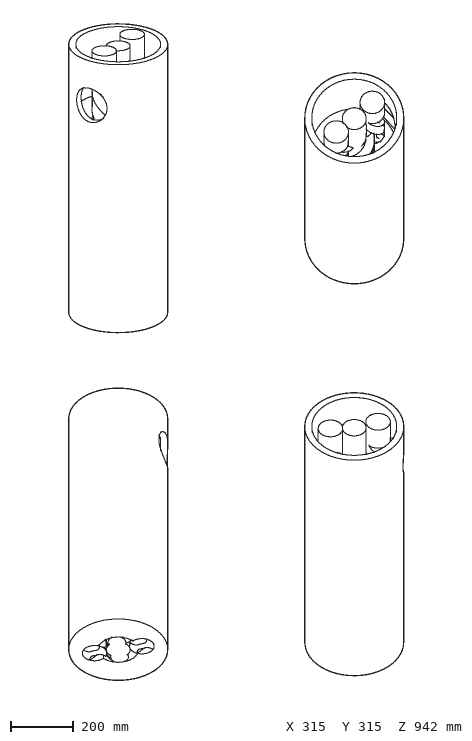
import cadquery as cq
import math

housing_diameter = 315.0
housing_height = 936.0
chamber_diameter = 270.0
chamber_floor = 706.0
window_diameter = 118.0
window_height = 782.0

overall_height = 942.0
rotor_spacing = 77.0
driver_diameter = 129.0
driver_shaft_diameter = 76.0
idler_diameter = 78.0
idler_root_diameter = 25.0
driver_top = 930.0
driver_thread_top = 791.0
idler_thread_top = 863.5
thread_lead = 245.0
starts = 2
driver_land_half_angle = 16.0
idler_crest_clearance = 1.5
lobe_direction = 90.0
flank_points = 7


def polar(radius, degrees):
    angle = math.radians(degrees)
    return (radius * math.cos(angle), radius * math.sin(angle))


def flank(tracing_radius, radius):
    """Angle in degrees swept by a mate's edge, rolling past, when it reaches this radius."""
    cosine = (rotor_spacing**2 + tracing_radius**2 - radius**2) / (2 * rotor_spacing * tracing_radius)
    roll = math.acos(min(1.0, cosine))
    bearing = math.atan2(
        tracing_radius * math.sin(roll), rotor_spacing - tracing_radius * math.cos(roll)
    )
    return math.degrees(abs(bearing - roll))


def spaced_radii(first, last):
    return [first + (last - first) * i / (flank_points - 1) for i in range(flank_points)]


def screw_section(inner_radius, outer_radius, half_angle, middle_radius):
    """Closed outline: alternating arcs on middle_radius and two features joined by curved flanks.

    half_angle(radius) gives the half-width of each feature, which ends on outer_radius
    (a lobe) or inner_radius (a groove), whichever differs from middle_radius.
    """
    end_radius = outer_radius if middle_radius == inner_radius else inner_radius
    radii = spaced_radii(middle_radius, end_radius)
    pitch_angle = 360 / starts
    outline = cq.Workplane("XY").moveTo(*polar(middle_radius, -half_angle(middle_radius)))
    for start in range(starts):
        centre = start * pitch_angle
        rising = [polar(r, centre - half_angle(r)) for r in radii[1:]]
        falling = [polar(r, centre + half_angle(r)) for r in reversed(radii[:-1])]
        next_edge = centre + pitch_angle - half_angle(middle_radius)
        outline = (
            outline.spline(rising, includeCurrent=True)
            .threePointArc(polar(end_radius, centre), polar(end_radius, centre + half_angle(end_radius)))
            .spline(falling, includeCurrent=True)
            .threePointArc(polar(middle_radius, centre + pitch_angle / 2), polar(middle_radius, next_edge))
        )
    return outline.close()


def driver_half_angle(radius):
    root_angle = flank(rotor_spacing / 2, driver_diameter / 2)
    return driver_land_half_angle + root_angle - flank(rotor_spacing / 2, max(radius, rotor_spacing / 2))


def idler_half_angle(radius):
    return driver_land_half_angle + idler_crest_clearance + flank(driver_diameter / 2, radius)


def make_screw(section, shaft_diameter, thread_top, top, hand):
    """Twist the section up to the thread top and add the plain shaft above it.

    At driver_thread_top the first feature of the section points in lobe_direction.
    """
    phase = lobe_direction - hand * 360 * driver_thread_top / thread_lead
    twist = hand * 360 * thread_top / thread_lead
    thread = section.twistExtrude(thread_top, twist)
    shaft = cq.Workplane("XY", origin=(0, 0, thread_top)).circle(shaft_diameter / 2).extrude(top - thread_top)
    return thread.union(shaft).rotate((0, 0, 0), (0, 0, 1), phase)


def make_driver():
    section = screw_section(
        driver_shaft_diameter / 2, driver_diameter / 2, driver_half_angle, driver_shaft_diameter / 2
    )
    return make_screw(section, driver_shaft_diameter, driver_thread_top, driver_top, 1)


def make_idler(side):
    """Left-handed mate; a groove faces the driver whenever a driver lobe points at it."""
    section = screw_section(
        idler_root_diameter / 2, idler_diameter / 2, idler_half_angle, idler_diameter / 2
    )
    screw = make_screw(section, idler_diameter, idler_thread_top, overall_height, -1)
    return screw.translate((0, side * rotor_spacing, 0))


def make_housing():
    body = cq.Workplane("XY").circle(housing_diameter / 2).extrude(housing_height)
    chamber = (
        cq.Workplane("XY", origin=(0, 0, chamber_floor))
        .circle(chamber_diameter / 2)
        .extrude(housing_height - chamber_floor)
    )
    driver_bore = cq.Workplane("XY").circle(driver_diameter / 2).extrude(housing_height)
    idler_bores = (
        cq.Workplane("XY")
        .pushPoints([(0, -rotor_spacing), (0, rotor_spacing)])
        .circle(idler_diameter / 2)
        .extrude(housing_height)
    )
    window = (
        cq.Workplane("XZ", origin=(0, 0, window_height))
        .circle(window_diameter / 2)
        .extrude(housing_diameter / 2)
    )
    return body.cut(chamber).cut(driver_bore).cut(idler_bores).cut(window)


housing = make_housing()
driver = make_driver()
idlers = [make_idler(side) for side in (-1, 1)]

result = cq.Compound.makeCompound([housing.val(), driver.val(), *[idler.val() for idler in idlers]])